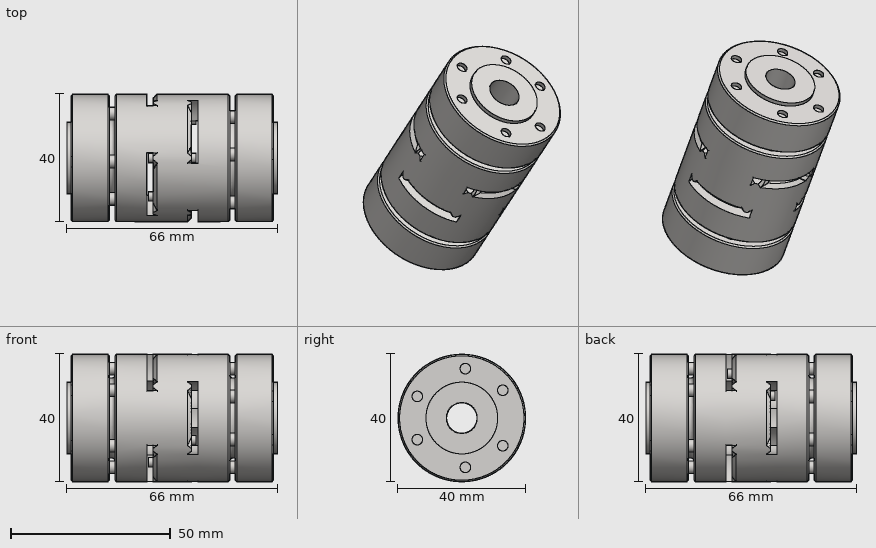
import cadquery as cq
import math


overall_length = 66.0
jaw_end = 18.0
slot_end = 8.0
claw_tip = 6.0
flange_gap = 1.7
flange_thickness = 12.0

outer_radius = 20.0
edge_chamfer = 0.5
hub_diameter = 22.5
boss_diameter = 25.1
boss_fillet = 1.0
first_bore_diameter = 10.0
second_bore_diameter = 9.5

screw_circle_radius = 15.5
screw_diameter = 4.0
screw_hole_diameter = 3.3
screw_hole_depth = 1.3
screw_triplet_offset = 25.9

core_radius = 12.0
leg_center_radius = 13.5
leg_half_width = 3.4
flank_radius = 12.55
claw_chamfer = 1.2
leg_chamfer_width = 0.9
leg_chamfer_length = 1.3

pin_circle_radius = 13.85
pin_diameter = 3.0
pin_length = 1.5

leg_angles = (30, 90, 150, 210, 270, 330)
claw_angles = {-1: (60, 180, 300), 1: (0, 120, 240)}
pin_angles = {-1: (30, 150, 270), 1: (90, 210, 330)}
half_claw_pitch = 30

radius_tolerance = 0.01

flange_inner = jaw_end + flange_gap
flange_outer = flange_inner + flange_thickness
hub_end = overall_length / 2
boss_radius = boss_diameter / 2


def polar(radius, angle):
    """Point (Y, Z) at an angle in degrees around the X axis."""
    return radius * math.cos(math.radians(angle)), radius * math.sin(math.radians(angle))


def disc(radius, x_first, x_second):
    """Solid cylinder on the X axis between two X positions."""
    plane = cq.Workplane("YZ", origin=(min(x_first, x_second), 0, 0))
    return plane.circle(radius).extrude(abs(x_second - x_first))


def rods(diameter, circle_radius, angles, x_first, x_second):
    """Cylinders parallel to X, one at each angle of a circle."""
    places = [polar(circle_radius, angle) for angle in angles]
    plane = cq.Workplane("YZ", origin=(min(x_first, x_second), 0, 0))
    return plane.pushPoints(places).circle(diameter / 2).extrude(abs(x_second - x_first))


def flank_angle(radius):
    """Angle between a leg's centreline and its flank at a given radius."""
    center_offset = flank_radius - leg_half_width
    center_distance = math.hypot(leg_center_radius, center_offset)
    center_angle = math.atan2(center_offset, leg_center_radius)
    cosine = (radius**2 + center_distance**2 - flank_radius**2) / (2 * radius * center_distance)
    return math.degrees(math.acos(cosine) - center_angle)


outer_flank_angle = flank_angle(outer_radius)
inner_flank_angle = flank_angle(core_radius)
middle_flank_radius = math.hypot(leg_center_radius, leg_half_width)
middle_flank_angle = math.degrees(math.atan2(leg_half_width, leg_center_radius))


def is_exposed(edge):
    """True for every claw edge except the inner one, which lies on the spider core."""
    return abs(edge.radius() - core_radius) > radius_tolerance


def claw(angle, side):
    """Ring sector between two neighbouring spider legs, growing from the jaw base on one side."""
    low_leg = angle - half_claw_pitch
    high_leg = angle + half_claw_pitch
    body = (
        cq.Workplane("YZ", origin=(min(side * slot_end, -side * claw_tip), 0, 0))
        .moveTo(*polar(core_radius, low_leg + inner_flank_angle))
        .threePointArc(
            polar(middle_flank_radius, low_leg + middle_flank_angle),
            polar(outer_radius, low_leg + outer_flank_angle),
        )
        .threePointArc(
            polar(outer_radius, angle),
            polar(outer_radius, high_leg - outer_flank_angle),
        )
        .threePointArc(
            polar(middle_flank_radius, high_leg - middle_flank_angle),
            polar(core_radius, high_leg - inner_flank_angle),
        )
        .threePointArc(
            polar(core_radius, angle),
            polar(core_radius, low_leg + inner_flank_angle),
        )
        .close()
        .extrude(slot_end + claw_tip)
    )
    tip_edges = body.faces("<X" if side > 0 else ">X").edges()
    return tip_edges.filter(is_exposed).chamfer(claw_chamfer)


def jaw(side):
    """Jaw on one side: base disc, three claws and a filleted boss."""
    outer_face = ">X" if side > 0 else "<X"
    body = disc(outer_radius, side * slot_end, side * jaw_end)
    body = body.faces(outer_face).edges().chamfer(edge_chamfer)
    for angle in claw_angles[side]:
        body = body.union(claw(angle, side))
    boss = (
        cq.Workplane("XY")
        .moveTo(side * flange_inner, 0)
        .lineTo(side * flange_inner, boss_radius)
        .lineTo(side * (jaw_end + boss_fillet), boss_radius)
        .radiusArc((side * jaw_end, boss_radius + boss_fillet), side * boss_fillet)
        .lineTo(side * jaw_end, 0)
        .close()
        .revolve(360, (0, 0, 0), (1, 0, 0))
    )
    return body.union(boss)


def flanged_hub(side):
    """Hub on one side: chamfered flange, raised hub face and six blind holes."""
    flange = disc(outer_radius, side * flange_inner, side * flange_outer)
    flange = flange.faces("<X or >X").edges().chamfer(edge_chamfer)
    body = flange.union(disc(hub_diameter / 2, side * flange_outer, side * hub_end))
    hole_bottom = flange_outer - screw_hole_depth
    holes = rods(
        screw_hole_diameter,
        screw_circle_radius,
        screw_angles(side),
        side * hole_bottom,
        side * flange_outer,
    )
    return body.cut(holes)


def screw_angles(side):
    """Two triplets of screws, offset both ways from the middles of the other side's claws."""
    return [
        middle + sign * screw_triplet_offset
        for sign in (-1, 1)
        for middle in claw_angles[-side]
    ]


def half_coupling(side):
    """Hub, jaw and the screws between them, without the bore."""
    screws = rods(
        screw_diameter,
        screw_circle_radius,
        screw_angles(side),
        side * jaw_end,
        side * flange_inner,
    )
    return jaw(side).union(flanged_hub(side)).union(screws)


def is_flank(edge):
    return abs(edge.radius() - flank_radius) < radius_tolerance


def leg(angle):
    """Spider leg along +Y with convex flanks and bevelled ends, turned to its angle."""
    body = (
        cq.Workplane("YZ", origin=(-claw_tip, 0, 0))
        .moveTo(*polar(core_radius, -inner_flank_angle))
        .threePointArc(
            polar(middle_flank_radius, -middle_flank_angle),
            polar(outer_radius, -outer_flank_angle),
        )
        .threePointArc((outer_radius, 0), polar(outer_radius, outer_flank_angle))
        .threePointArc(
            polar(middle_flank_radius, middle_flank_angle),
            polar(core_radius, inner_flank_angle),
        )
        .close()
        .extrude(2 * claw_tip)
    )
    body = body.faces("<X or >X").edges("%CIRCLE").filter(is_flank)
    body = body.chamfer(leg_chamfer_length, leg_chamfer_width)
    return body.rotate((0, 0, 0), (1, 0, 0), angle)


def spider():
    """Core, six legs, and three stop pins on each end."""
    body = disc(core_radius, -claw_tip, claw_tip)
    for angle in leg_angles:
        body = body.union(leg(angle))
    for side in (-1, 1):
        pins = rods(
            pin_diameter,
            pin_circle_radius,
            pin_angles[side],
            side * claw_tip,
            side * (claw_tip + pin_length),
        )
        body = body.union(pins)
    return body


result = half_coupling(-1).union(half_coupling(1)).union(spider())
result = result.cut(disc(first_bore_diameter / 2, -hub_end, 0))
result = result.cut(disc(second_bore_diameter / 2, 0, hub_end))